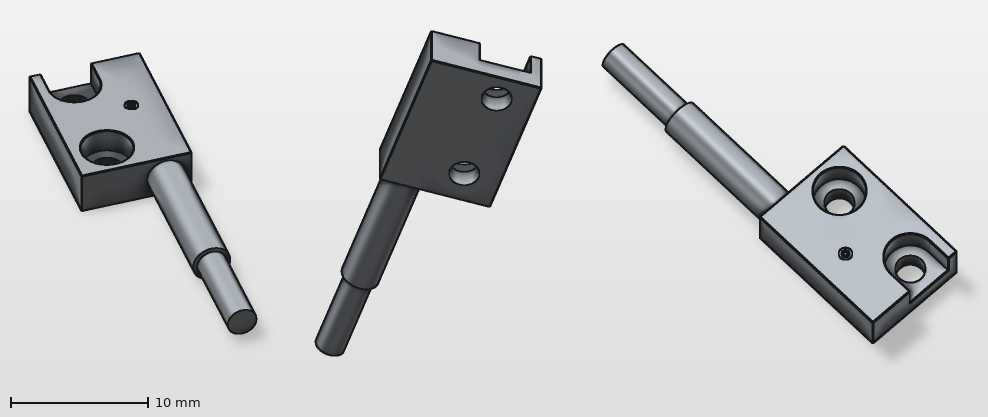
import cadquery as cq

body_length = 12.0
body_width = 8.5
body_height = 3.4
edge_break = 0.075

hole_diameter = 2.2
seat_diameter = 3.84
seat_depth = 1.9
hole_y = 2.8
left_hole_x = 2.0
right_hole_x = 9.5

indicator_x = 5.5
indicator_y = 6.02
indicator_diameter = 1.0
pin_diameter = 0.6
dimple_diameter = 0.3
indicator_depth = 0.1

cable_y = 6.5
sleeve_diameter = 2.85
sleeve_end_x = 22.5
cable_diameter = 2.2
cable_end_x = 29.5


def vertical_cylinder(x, y, diameter, bottom, top):
    disc = cq.Workplane("XY", origin=(x, y, bottom)).circle(diameter / 2)
    return disc.extrude(top - bottom)


def cable_cylinder(diameter, end_x):
    """Cylinder along the cable axis, rooted inside the housing so that it fuses."""
    root_x = body_length - 2 * edge_break
    disc = cq.Workplane("YZ", origin=(root_x, cable_y, body_height / 2)).circle(diameter / 2)
    return disc.extrude(end_x - root_x)


def make_body():
    """Housing with both screw seats, all outer edges broken, and the screw holes."""
    body = cq.Workplane("XY").box(body_length, body_width, body_height, centered=False)
    seat_floor = body_height - seat_depth
    for x in (left_hole_x, right_hole_x):
        body = body.cut(vertical_cylinder(x, hole_y, seat_diameter, seat_floor, body_height))

    channel = cq.Workplane("XY", origin=(0, hole_y - seat_diameter / 2, seat_floor))
    body = body.cut(channel.box(left_hole_x, seat_diameter, seat_depth, centered=False))

    body = body.faces("<X or >X or <Z or >Z").edges().chamfer(edge_break)
    for x in (left_hole_x, right_hole_x):
        body = body.cut(vertical_cylinder(x, hole_y, hole_diameter, 0, body_height))
    return body


def make_indicator_cutter():
    floor = body_height - indicator_depth

    def disc(diameter):
        return vertical_cylinder(indicator_x, indicator_y, diameter, floor, body_height)

    groove = disc(indicator_diameter).cut(disc(pin_diameter))
    return groove.union(disc(dimple_diameter))


result = make_body().cut(make_indicator_cutter())
result = result.union(cable_cylinder(sleeve_diameter, sleeve_end_x))
result = result.union(cable_cylinder(cable_diameter, cable_end_x))